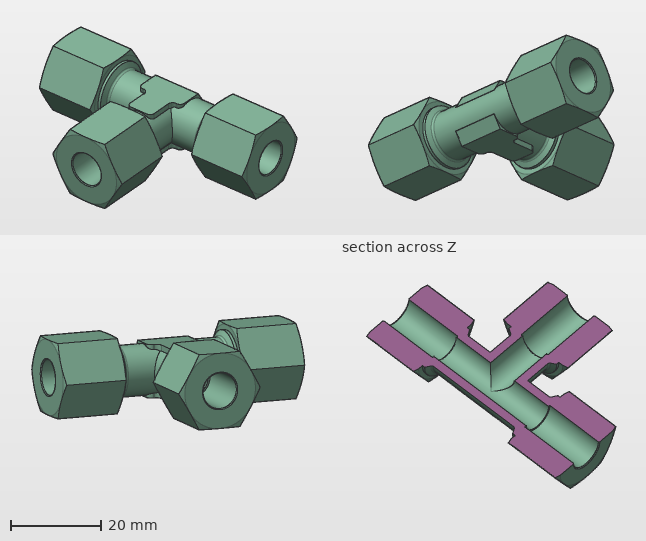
import cadquery as cq
import math

reach = 29.0
across_flats = 17.0
nut_length = 14.95
nut_chamfer_angle = 15.0

pipe_diameter = 11.55
collar_diameter = 14.6
collar_length = 0.7
cone_angle = 60.0
cone_fillet = 0.65

bore_diameter = 7.2
socket_diameter = 8.0
socket_chamfer = 0.25

pad_thickness = 12.05
pad_width = 12.05
pad_stem_width = 6.8
pad_back = 5.0
pad_shoulder = 3.0
pad_tip = 10.4
pad_corner_radius = 1.15
pad_slope_start = 3.1
pad_slope_angle = 58.0

across_corners = across_flats / math.cos(math.pi / 6)
nut_start = reach - nut_length
arm_angles = (0, 180, -90)


def on_arm(shape, angle):
    """Turn a shape built along +Z so that it points along an arm."""
    return shape.rotate((0, 0, 0), (0, 1, 0), 90).rotate((0, 0, 0), (0, 0, 1), angle)


def revolve_about_arm(points):
    """Revolve (radius, distance) points about the arm axis."""
    return cq.Workplane("XZ").polyline(points).close().revolve(360, (0, 0, 0), (0, 1, 0))


def make_nut():
    """Hexagon nut with both ends coned down to a circle as wide as the flats."""
    corner_radius = across_corners / 2
    flat_radius = across_flats / 2
    drop = (corner_radius - flat_radius) * math.tan(math.radians(nut_chamfer_angle))
    hexagon = (
        cq.Workplane("XY", origin=(0, 0, nut_start))
        .polygon(6, across_corners)
        .extrude(nut_length)
        .rotate((0, 0, 0), (0, 0, 1), 90)
    )
    envelope = revolve_about_arm([
        (0, nut_start),
        (flat_radius, nut_start),
        (corner_radius, nut_start + drop),
        (corner_radius, reach - drop),
        (flat_radius, reach),
        (0, reach),
    ])
    return hexagon.intersect(envelope)


def make_body_arm():
    """Pipe from the tee centre, blended by a cone into the collar."""
    pipe_radius = pipe_diameter / 2
    collar_radius = collar_diameter / 2
    angle = math.radians(cone_angle)
    cone_end = nut_start - collar_length
    cone_start = cone_end - (collar_radius - pipe_radius) / math.tan(angle)
    tangent = cone_fillet * math.tan(angle / 2)
    fillet_start = (pipe_radius, cone_start - tangent)
    fillet_middle = (
        pipe_radius + cone_fillet * (1 - math.cos(angle / 2)),
        cone_start - tangent + cone_fillet * math.sin(angle / 2),
    )
    fillet_end = (
        pipe_radius + tangent * math.sin(angle),
        cone_start + tangent * math.cos(angle),
    )
    return (
        cq.Workplane("XZ")
        .lineTo(pipe_radius, 0)
        .lineTo(*fillet_start)
        .threePointArc(fillet_middle, fillet_end)
        .lineTo(collar_radius, cone_end)
        .lineTo(collar_radius, nut_start)
        .lineTo(0, nut_start)
        .close()
        .revolve(360, (0, 0, 0), (0, 1, 0))
    )


def make_bore():
    """Bore from the tee centre with a tube socket as deep as the nut."""
    bore_radius = bore_diameter / 2
    socket_radius = socket_diameter / 2
    return revolve_about_arm([
        (0, 0),
        (bore_radius, 0),
        (bore_radius, nut_start),
        (socket_radius, nut_start),
        (socket_radius, reach - socket_chamfer),
        (socket_radius + socket_chamfer, reach),
        (0, reach),
    ])


def round_upright_edges(solid, corners, radius):
    """Fillet the vertical edge nearest to each corner point."""
    for corner in corners:
        solid = solid.edges("|Z").edges(cq.NearestToPointSelector(corner)).fillet(radius)
    return solid


def make_pads():
    """T-shaped block whose top and bottom stand just proud of the pipes."""
    half_thickness = pad_thickness / 2
    half_width = pad_width / 2
    half_stem = pad_stem_width / 2
    plan = (
        cq.Workplane("XY", origin=(0, 0, -half_thickness))
        .moveTo(-half_width, pad_back)
        .lineTo(-half_width, -pad_shoulder)
        .lineTo(-half_stem, -pad_shoulder)
        .lineTo(-half_stem, -pad_tip)
        .lineTo(half_stem, -pad_tip)
        .lineTo(half_stem, -pad_shoulder)
        .lineTo(half_width, -pad_shoulder)
        .lineTo(half_width, pad_back)
        .close()
        .extrude(pad_thickness)
    )
    rounded_corners = []
    for side in (-1, 1):
        rounded_corners.append((side * half_width, -pad_shoulder, 0))
        rounded_corners.append((side * half_stem, -pad_shoulder, 0))
        rounded_corners.append((side * half_stem, -pad_tip, 0))
    plan = round_upright_edges(plan, rounded_corners, pad_corner_radius)

    slope_drop = (pad_back - pad_slope_start) * math.tan(math.radians(pad_slope_angle))
    slope_end = half_thickness - slope_drop
    profile = (
        cq.Workplane("YZ", origin=(-half_width, 0, 0))
        .moveTo(-pad_tip, half_thickness)
        .lineTo(pad_slope_start, half_thickness)
        .lineTo(pad_back, slope_end)
        .lineTo(pad_back, -slope_end)
        .lineTo(pad_slope_start, -half_thickness)
        .lineTo(-pad_tip, -half_thickness)
        .close()
        .extrude(pad_width)
    )
    return plan.intersect(profile)


result = make_pads()
for arm_angle in arm_angles:
    result = result.union(on_arm(make_body_arm(), arm_angle))
    result = result.union(on_arm(make_nut(), arm_angle))
for arm_angle in arm_angles:
    result = result.cut(on_arm(make_bore(), arm_angle))